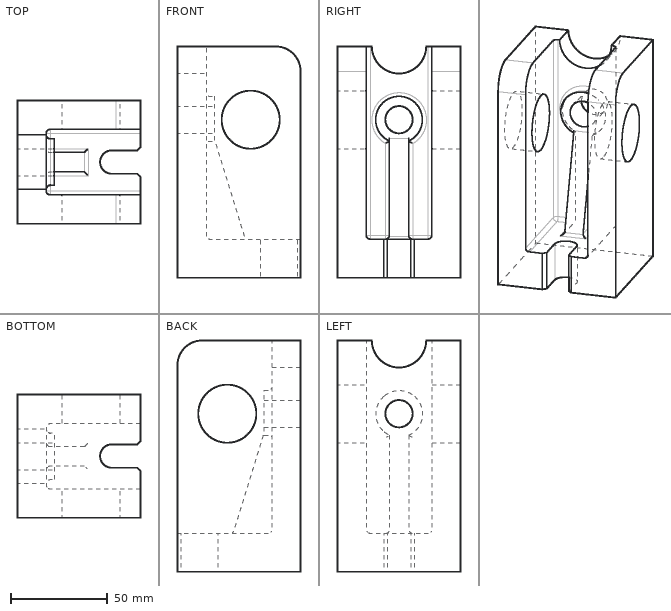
import cadquery as cq
import math

side = 64.0
height = 120.0
top_corner_radius = 13.0

back_wall = 15.0
slot_width = 34.0
floor_height = 20.0
root_radius = 2.0

bore_diameter = 30.0
bore_x = 38.0
bore_z = 82.0

notch_diameter = 28.1
pin_hole_diameter = 14.0
boss_diameter = 24.2
boss_length = 4.1

rib_width = 10.0
rib_end_x = 35.2
rib_overlap = 2.4
rib_top_z = bore_z - boss_diameter / 2 + rib_overlap

relief_width = 12.0
relief_end_x = 43.0
relief_chamfer = 1.8


def x_cylinder(diameter, x_start, length, z):
    plane = cq.Workplane("YZ", origin=(x_start, 0, z))
    return plane.circle(diameter / 2).extrude(length)


def centred_box(x_start, x_end, width, z_start, z_end):
    box = cq.Workplane("XY").box(x_end - x_start, width, z_end - z_start, centered=(False, True, False))
    return box.translate((x_start, 0, z_start))


def make_block():
    block = centred_box(0, side, side, 0, height)
    return block.edges("|Y and >X and >Z").fillet(top_corner_radius)


def make_boss():
    radius = boss_diameter / 2
    flare_middle = root_radius * (1 - math.sqrt(0.5))
    return (
        cq.Workplane("XY")
        .moveTo(back_wall, 0)
        .lineTo(back_wall, radius + root_radius)
        .threePointArc(
            (back_wall + flare_middle, radius + flare_middle),
            (back_wall + root_radius, radius),
        )
        .lineTo(back_wall + boss_length, radius)
        .lineTo(back_wall + boss_length, 0)
        .close()
        .revolve(360, (0, 0, 0), (1, 0, 0))
        .translate((0, 0, bore_z))
    )


def make_rib():
    profile = [
        (back_wall, floor_height),
        (rib_end_x, floor_height),
        (back_wall + boss_length, rib_top_z),
        (back_wall, rib_top_z),
    ]
    return cq.Workplane("XZ").polyline(profile).close().extrude(rib_width / 2, both=True)


def make_cavity():
    slot = centred_box(back_wall, 2 * side, slot_width, floor_height, 2 * height)
    cavity = slot.cut(make_rib())
    floor_roots = "<Z and (not >X)"
    wall_roots = "<X and (not >Z)"
    cavity = cavity.edges(f"({floor_roots}) or ({wall_roots})").fillet(root_radius)
    return cavity.cut(make_boss())


def make_relief():
    radius = relief_width / 2
    mouth = radius + relief_chamfer
    return (
        cq.Workplane("XY")
        .moveTo(relief_end_x + radius, radius)
        .lineTo(side - relief_chamfer, radius)
        .lineTo(side, mouth)
        .lineTo(side, -mouth)
        .lineTo(side - relief_chamfer, -radius)
        .lineTo(relief_end_x + radius, -radius)
        .threePointArc((relief_end_x, 0), (relief_end_x + radius, radius))
        .close()
        .extrude(height)
    )


cross_bore = (
    cq.Workplane("XZ", origin=(bore_x, 0, bore_z))
    .circle(bore_diameter / 2)
    .extrude(side, both=True)
)

result = (
    make_block()
    .cut(make_cavity())
    .cut(cross_bore)
    .cut(x_cylinder(notch_diameter, 0, back_wall, height))
    .cut(x_cylinder(pin_hole_diameter, 0, side, bore_z))
    .cut(make_relief())
    .translate((-side / 2, 0, 0))
)